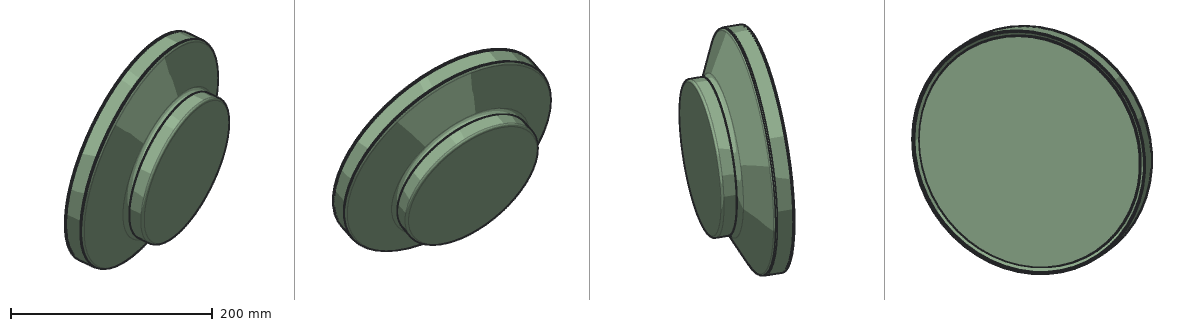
import cadquery as cq
import math

total_length = 63.0
rim_radius = 125.0

insert_radius = 124.0
insert_front_x = 1.5
insert_back_x = 17.5
lip_inner_radius = 122.8
groove_radius = 119.0
bevel_depth = 2.2
dish_radius = 118.2
groove_rise = 2.0
dish_slope = 5.0

rim_width = 18.0
rim_taper = 0.12
rim_chamfer_radius = 124.5
rim_chamfer_end_x = 19.5
rim_round_end = (21.2, 122.5)
rim_round_bulge = 0.2

cone_slope = 62.9
neck_round_radius = 6.0
neck_radius = 79.8

collar_radius = 80.0
collar_step_end_x = 47.5
collar_round_radius = 2.5


def revolve_about_x(profile):
    return profile.close().revolve(360, (0, 0, 0), (1, 0, 0))


def make_insert():
    groove_x = insert_front_x + bevel_depth
    dish_edge_x = groove_x - groove_rise
    dish_center_x = dish_edge_x + dish_radius * math.tan(math.radians(dish_slope))
    profile = (
        cq.Workplane("XY")
        .moveTo(dish_center_x, 0)
        .lineTo(dish_edge_x, dish_radius)
        .lineTo(groove_x, groove_radius)
        .lineTo(insert_front_x, lip_inner_radius)
        .lineTo(insert_front_x, insert_radius)
        .lineTo(insert_back_x, insert_radius)
        .lineTo(insert_back_x, 0)
    )
    return revolve_about_x(profile)


def make_housing():
    rim_round_middle = (
        (rim_chamfer_end_x + rim_round_end[0]) / 2 + rim_round_bulge * math.sin(math.pi / 4),
        (rim_chamfer_radius + rim_round_end[1]) / 2 + rim_round_bulge * math.cos(math.pi / 4),
    )

    slope = math.radians(cone_slope)
    hollow_start_radius = neck_radius + neck_round_radius * (1 - math.cos(slope))
    hollow_start_x = rim_round_end[0] + (rim_round_end[1] - hollow_start_radius) / math.tan(slope)
    hollow_end_x = hollow_start_x + neck_round_radius * math.sin(slope)
    hollow_middle = (
        hollow_end_x - neck_round_radius * math.sin(slope / 2),
        neck_radius + neck_round_radius * (1 - math.cos(slope / 2)),
    )

    collar_round_inset = collar_round_radius * (1 - math.sin(math.pi / 4))

    profile = (
        cq.Workplane("XY")
        .moveTo(insert_back_x, 0)
        .lineTo(insert_back_x, insert_radius)
        .lineTo(0, insert_radius)
        .lineTo(0, rim_radius)
        .lineTo(rim_width, rim_radius - rim_taper)
        .lineTo(rim_chamfer_end_x, rim_chamfer_radius)
        .threePointArc(rim_round_middle, rim_round_end)
        .lineTo(hollow_start_x, hollow_start_radius)
        .threePointArc(hollow_middle, (hollow_end_x, neck_radius))
        .lineTo(collar_step_end_x, collar_radius)
        .lineTo(total_length - collar_round_radius, collar_radius)
        .threePointArc(
            (total_length - collar_round_inset, collar_radius - collar_round_inset),
            (total_length, collar_radius - collar_round_radius),
        )
        .lineTo(total_length, 0)
    )
    return revolve_about_x(profile)


housing = make_housing()
insert = make_insert()
result = cq.Compound.makeCompound([housing.val(), insert.val()])